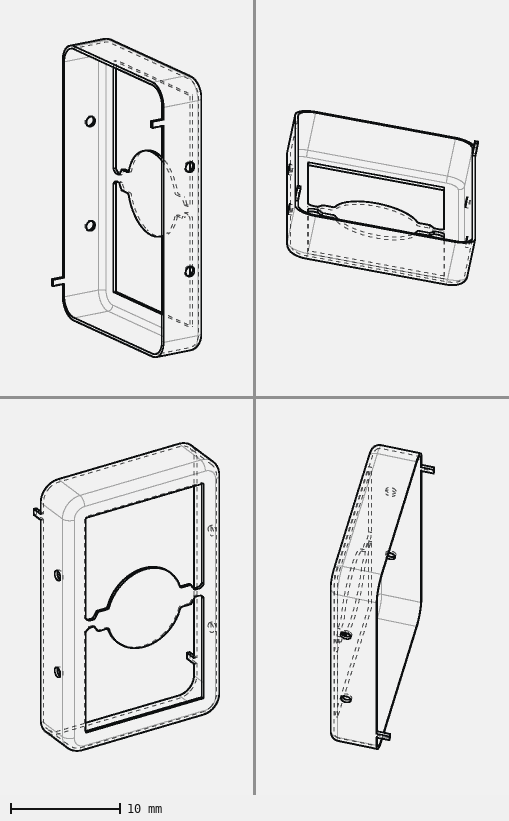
import cadquery as cq
import math

width = 16.8
height = 26.3
depth = 4.5
corner_radius = 1.9
wall = 0.3
back_edge_radius = 0.8

window_margin = 2.05
window_corner_radius = 0.1

disc_radius = 4.0
arm_half_height = 1.0
arm_shoulder_x = 5.0
neck_half_height = 0.37
neck_start_x = 5.42
neck_flare_radius = 0.58
neck_flare_x = 5.8
arm_root_fillet = 0.2

hole_diameter = 0.95
hole_spacing = 10.0
hole_from_back = 1.6

peg_length = 1.2
peg_height = 0.6
peg_offset_z = 9.75

window_width = width - 2 * window_margin
window_height = height - 2 * window_margin
front_y = -depth / 2
back_y = depth / 2


def rounded_block(inset, start_y, end_y, edge_radius):
    """Block inset from the outer outline, with rounded corners and back edge."""
    block = (
        cq.Workplane("XZ", origin=(0, end_y, 0))
        .rect(width - 2 * inset, height - 2 * inset)
        .extrude(end_y - start_y)
        .edges("|Y")
        .fillet(corner_radius - inset)
    )
    return block.faces(">Y").edges().fillet(edge_radius)


def make_tray():
    """Thin shell with a back plate, uniform in thickness around its back edge."""
    outer = rounded_block(0, front_y, back_y, back_edge_radius)
    cavity = rounded_block(wall, front_y, back_y - wall, back_edge_radius - wall)
    return outer.cut(cavity)


def make_window():
    return (
        cq.Workplane("XZ", origin=(0, back_y, 0))
        .rect(window_width, window_height)
        .extrude(wall)
        .edges("|Y")
        .fillet(window_corner_radius)
    )


def make_arms():
    """Stepped bar across the window, necked down and flared where it meets the frame."""
    root_x = window_width / 2
    anchor_x = root_x + window_margin / 4
    flare_run = root_x - neck_flare_x

    def flare_z(run):
        rise = neck_flare_radius - math.sqrt(neck_flare_radius**2 - run**2)
        return neck_half_height + rise

    root_z = flare_z(flare_run)
    flare_mid = (neck_flare_x + flare_run / 2, flare_z(flare_run / 2))
    quarter = (
        cq.Workplane("XZ", origin=(0, back_y, 0))
        .lineTo(0, arm_half_height)
        .lineTo(arm_shoulder_x, arm_half_height)
        .lineTo(neck_start_x, neck_half_height)
        .lineTo(neck_flare_x, neck_half_height)
        .threePointArc(flare_mid, (root_x, root_z))
        .lineTo(anchor_x, root_z)
        .lineTo(anchor_x, 0)
        .close()
        .extrude(wall)
    )
    half = quarter.union(quarter.mirror("XY"))
    return half.union(half.mirror("YZ")).clean()


def make_disc_with_arms():
    disc = cq.Workplane("XZ", origin=(0, back_y, 0)).circle(disc_radius).extrude(wall)
    joined = disc.union(make_arms())
    root_x = math.sqrt(disc_radius**2 - arm_half_height**2)
    reach = 0.05
    corners = cq.selectors.BoxSelector(
        (-root_x - reach, front_y, -arm_half_height - reach),
        (root_x + reach, back_y, arm_half_height + reach),
    )
    return joined.edges("|Y").edges(corners).fillet(arm_root_fillet)


def make_side_holes():
    return (
        cq.Workplane("YZ", origin=(-width / 2, back_y - hole_from_back, 0))
        .pushPoints([(0, -hole_spacing / 2), (0, hole_spacing / 2)])
        .circle(hole_diameter / 2)
        .extrude(width)
    )


def make_peg(side):
    """Peg continuing a side wall past the rim: low on -X (side -1), high on +X (side 1)."""
    center_x = side * (width - wall) / 2
    return (
        cq.Workplane("XZ", origin=(center_x, front_y + wall, side * peg_offset_z))
        .rect(wall, peg_height)
        .extrude(peg_length + wall)
    )


result = make_tray().cut(make_window()).union(make_disc_with_arms()).cut(make_side_holes())
for side in (-1, 1):
    result = result.union(make_peg(side))